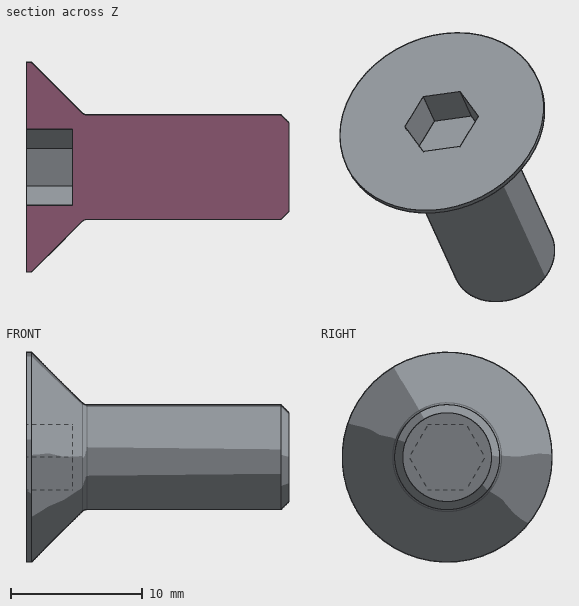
import cadquery as cq
import math

length = 20.0
head_radius = 8.0
shank_radius = 4.0
rim_width = 0.4
neck_fillet = 0.5
tip_chamfer = 0.62
socket_across_flats = 5.0
socket_depth = 3.5

neck_x = rim_width + head_radius - shank_radius

half_arc_angle = math.radians(45 / 2)
tangent_length = neck_fillet * math.tan(half_arc_angle)
cone_end_offset = tangent_length * math.cos(math.radians(45))
arc_start = (neck_x - cone_end_offset, shank_radius + cone_end_offset)
arc_end = (neck_x + tangent_length, shank_radius)
arc_middle = (
    arc_end[0] - neck_fillet * math.sin(half_arc_angle),
    shank_radius + neck_fillet * (1 - math.cos(half_arc_angle)),
)


def make_body():
    """Revolve the half profile of the head and shank about the X axis."""
    return (
        cq.Workplane("XY")
        .moveTo(0, 0)
        .lineTo(0, head_radius)
        .lineTo(rim_width, head_radius)
        .lineTo(*arc_start)
        .threePointArc(arc_middle, arc_end)
        .lineTo(length - tip_chamfer, shank_radius)
        .lineTo(length, shank_radius - tip_chamfer)
        .lineTo(length, 0)
        .close()
        .revolve(360, (0, 0, 0), (1, 0, 0))
    )


def make_socket():
    """Hexagonal drive recess with corners on the Y axis and flats facing Z."""
    across_corners = socket_across_flats / math.cos(math.radians(30))
    return cq.Workplane("YZ").polygon(6, across_corners).extrude(socket_depth)


result = make_body().cut(make_socket())